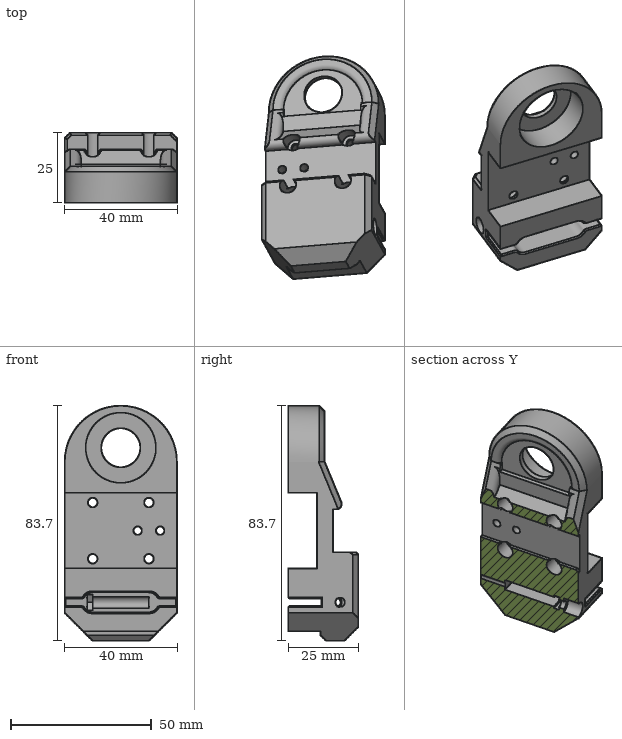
import cadquery as cq
import math

width = 40.0
half_width = width / 2
depth = 25.0
height = 83.7
ring_center_z = height - half_width

pick_margin = 0.1

plate_mid_z = 39.2
plate_front_y = 10.2
plate_back_y = 16.0
front_pocket_height = 26.8
back_pocket_height = 15.2
front_pocket_bottom = plate_mid_z - front_pocket_height / 2
front_pocket_top = plate_mid_z + front_pocket_height / 2
block_top = plate_mid_z - back_pocket_height / 2
lip_bottom = plate_mid_z + back_pocket_height / 2

ring_thickness = 13.0
lip_tip_y = 20.0
lip_radius = 1.9
rim_chamfer = 2.0
bore_z = height - 15.0
bore_diameter = 25.0
bore_depth = 10.0
shaft_hole_diameter = 13.8
slope_angle = math.atan((lip_tip_y - ring_thickness) / (ring_center_z - lip_bottom))

recess_half_width = 14.1
recess_mouth_radius = 2.0
recess_floor_y = 12.0
notch_floor_y = 13.65
recess_ledge_z = bore_z - 8.0

foot_y = 11.5
foot_z = 3.4
foot_chamfer = 2.0
back_bevel = 5.0
side_bevel = 10.0
block_corner_chamfer = 2.0
block_top_chamfer = 0.9

slot_z = 13.7
slot_depth = 11.7
slot_height = 2.5
slot_wide_height = 7.0
slot_end_x = 10.0
slot_blend_radius = 1.5
slot_chamfer = 0.5

screw_y = 17.0
screw_hole_diameter = 3.3
screw_head_diameter = 6.0
screw_head_depth = 6.0
far_hole_y = 18.5
cavity_length = 20.0
cavity_diameter = 4.1
nut_flats = 5.5
nut_thickness = 2.0

mount_spacing = 20.0
mount_hole_diameter = 3.3
mount_head_diameter = 6.0
mount_web = 1.0
pin_hole_diameter = 2.9
pin_hole_xs = (6.0, 14.0)


def y_cylinder(x, z, diameter, y_start, y_end):
    """Cylinder along Y between two Y positions."""
    start = cq.Vector(x, y_start, z)
    return cq.Workplane(cq.Solid.makeCylinder(diameter / 2, y_end - y_start, start, cq.Vector(0, 1, 0)))


def x_cylinder(y, z, diameter, x_start, x_end):
    """Cylinder along X between two X positions."""
    start = cq.Vector(x_start, y, z)
    return cq.Workplane(cq.Solid.makeCylinder(diameter / 2, x_end - x_start, start, cq.Vector(1, 0, 0)))


def x_prism(points, length):
    """Polygon in the YZ plane extruded symmetrically along X."""
    return cq.Workplane("YZ").polyline(points).close().extrude(length / 2, both=True)


def box(x_range, y_range, z_range):
    """Axis-aligned box from its limits along each axis."""
    size = [limits[1] - limits[0] for limits in (x_range, y_range, z_range)]
    corner = (x_range[0], y_range[0], z_range[0])
    return cq.Workplane("XY").box(*size, centered=False).translate(corner)


def make_upper():
    """Ring, sloped lip and plate."""
    profile = [
        (0, front_pocket_top),
        (plate_front_y, front_pocket_top),
        (plate_front_y, front_pocket_bottom),
        (plate_back_y, front_pocket_bottom),
        (plate_back_y, lip_bottom),
        (lip_tip_y, lip_bottom),
        (ring_thickness, ring_center_z),
        (0, ring_center_z),
    ]
    lip = x_prism(profile, width)
    tip = cq.selectors.BoxSelector(
        (-width, lip_tip_y - pick_margin, lip_bottom - pick_margin),
        (width, lip_tip_y + pick_margin, lip_bottom + pick_margin))
    tip_waste = lip.cut(lip.edges(tip).fillet(lip_radius))
    slope_normal = cq.Vector(0, math.cos(slope_angle), math.sin(slope_angle))
    slope_sides = [
        edge for edge in lip.faces(cq.selectors.DirectionMinMaxSelector(slope_normal)).edges().vals()
        if abs(edge.Center().x) > half_width - pick_margin
    ]
    lip = lip.newObject(slope_sides).chamfer(rim_chamfer).cut(tip_waste)
    ring = y_cylinder(0, ring_center_z, width, 0, ring_thickness).faces(">Y").edges().chamfer(rim_chamfer)
    upper_half = box((-half_width, half_width), (0, ring_thickness), (ring_center_z, height))
    return lip.union(ring.intersect(upper_half))


def make_block():
    """Lower block with its foot, bevels and rear chamfers."""
    profile = [
        (0, foot_z),
        (foot_y, foot_z),
        (foot_y, foot_chamfer),
        (foot_y + foot_chamfer, 0),
        (depth - back_bevel, 0),
        (depth, back_bevel),
        (depth, block_top),
        (plate_back_y, block_top),
        (plate_back_y, front_pocket_bottom),
        (0, front_pocket_bottom),
    ]
    block = x_prism(profile, width)
    block = block.edges("|Z").edges(">Y").chamfer(block_corner_chamfer)
    top_edges = [
        edge for edge in block.faces(">Z").edges().vals()
        if edge.Center().y > plate_back_y + pick_margin and edge.Center().x < half_width - pick_margin
    ]
    block = block.newObject(top_edges).chamfer(block_top_chamfer)
    for side in (-1, 1):
        bevel = [
            (side * half_width, 0),
            (side * half_width, side_bevel),
            (side * (half_width - side_bevel), 0),
        ]
        block = block.cut(cq.Workplane("XZ").polyline(bevel).close().extrude(-depth))
    return block


def mirrored(point, first_sign, second_sign):
    """Point with a sign applied to each coordinate."""
    return (first_sign * point[0], second_sign * point[1])


def strap_slot_tool(offset, length, taper=0):
    """Narrow full-width strip blending into a wide middle, grown by an offset and cut from the front."""
    strip_z = slot_height / 2 + offset
    end_radius = slot_wide_height / 2 + offset
    blend_radius = slot_blend_radius - offset
    blend_z = strip_z + blend_radius
    end_angle = math.asin(blend_z / (end_radius + blend_radius))
    blend_x = slot_end_x + (end_radius + blend_radius) * math.cos(end_angle)
    mid_angle = (end_angle + math.pi / 2) / 2
    end_mid = (slot_end_x + end_radius * math.cos(mid_angle), end_radius * math.sin(mid_angle))
    meet = (slot_end_x + end_radius * math.cos(end_angle), end_radius * math.sin(end_angle))
    blend_mid = (
        blend_x - blend_radius * math.cos(mid_angle),
        blend_z - blend_radius * math.sin(mid_angle),
    )
    plane = cq.Plane(origin=(0, 0, slot_z), xDir=(1, 0, 0), normal=(0, 1, 0))
    outline = cq.Workplane(plane).moveTo(-slot_end_x, end_radius)
    for half in (1, -1):
        outline = (
            outline.lineTo(*mirrored((slot_end_x, end_radius), half, half))
            .threePointArc(mirrored(end_mid, half, half), mirrored(meet, half, half))
            .threePointArc(mirrored(blend_mid, half, half), mirrored((blend_x, strip_z), half, half))
            .lineTo(*mirrored((width, strip_z), half, half))
            .lineTo(*mirrored((width, strip_z), half, -half))
            .lineTo(*mirrored((blend_x, strip_z), half, -half))
            .threePointArc(mirrored(blend_mid, half, -half), mirrored(meet, half, -half))
            .threePointArc(mirrored(end_mid, half, -half), mirrored((slot_end_x, end_radius), half, -half))
        )
    return outline.close().extrude(length, taper=taper)


def cut_strap_slot(body):
    """Slot for a strap, chamfered at the front and at both sides."""
    body = body.cut(strap_slot_tool(0, slot_depth))
    body = body.cut(strap_slot_tool(slot_chamfer, slot_chamfer, taper=45))
    for side in (-1, 1):
        mouth = (
            cq.Workplane("YZ", origin=(side * half_width, 0, slot_z))
            .rect(2 * (slot_depth + slot_chamfer), slot_height + 2 * slot_chamfer)
            .extrude(-side * slot_chamfer, taper=45)
        )
        body = body.cut(mouth)
    return body


def cut_cross_screw(body):
    """Screw hole along X with its head, cavity and nut trap."""
    cavity_end = cavity_length / 2
    head_end = -half_width + screw_head_depth
    nut_start = -cavity_end - nut_thickness
    body = body.cut(x_cylinder(screw_y, slot_z, screw_head_diameter, -half_width, head_end))
    body = body.cut(x_cylinder(screw_y, slot_z, screw_hole_diameter, -half_width, -cavity_end))
    body = body.cut(x_cylinder(far_hole_y, slot_z, screw_hole_diameter, cavity_end, half_width))
    body = body.cut(x_cylinder(screw_y, slot_z, cavity_diameter, -cavity_end, cavity_end))
    body = body.cut(box(
        (-cavity_end, cavity_end), (slot_depth, screw_y),
        (slot_z - cavity_diameter / 2, slot_z + cavity_diameter / 2)))
    nut = (
        cq.Workplane("YZ", origin=(nut_start, screw_y, slot_z))
        .polygon(6, nut_flats / math.cos(math.pi / 6))
        .extrude(nut_thickness)
    )
    body = body.cut(nut)
    return body.cut(box(
        (nut_start, -cavity_end), (slot_depth, screw_y),
        (slot_z - nut_flats / 2, slot_z + nut_flats / 2)))


def cut_plate_holes(body):
    """Mounting holes with screw-head bores, and the two pin holes."""
    half_spacing = mount_spacing / 2
    for x in (-half_spacing, half_spacing):
        for z in (plate_mid_z - half_spacing, plate_mid_z + half_spacing):
            body = body.cut(y_cylinder(x, z, mount_hole_diameter, 0, depth))
            body = body.cut(y_cylinder(x, z, mount_head_diameter, plate_front_y + mount_web, depth))
    for x in pin_hole_xs:
        body = body.cut(y_cylinder(x, plate_mid_z, pin_hole_diameter, 0, depth))
    return body


def cut_bore(body):
    """Front bore and the smaller shaft hole behind it."""
    body = body.cut(y_cylinder(0, bore_z, bore_diameter, 0, bore_depth))
    return body.cut(y_cylinder(0, bore_z, shaft_hole_diameter, 0, depth))


def recess_section(workplane, side):
    """Half of the recess cross-section: straight wall with a rounded mouth at the local origin height."""
    mouth = recess_half_width + recess_mouth_radius
    bend = recess_mouth_radius * (1 - math.sqrt(0.5))
    return (
        workplane.moveTo(0, -depth)
        .lineTo(side * recess_half_width, -depth)
        .lineTo(side * recess_half_width, -recess_mouth_radius)
        .threePointArc((side * (recess_half_width + bend), -bend), (side * mouth, 0))
        .lineTo(side * mouth, depth)
        .lineTo(0, depth)
        .close()
    )


def cut_recess(body):
    """Recess behind the ring, running down into the lip."""
    down_slope = cq.Vector(0, math.sin(slope_angle), -math.cos(slope_angle))
    slope_plane = cq.Plane(
        origin=cq.Vector(0, ring_thickness, ring_center_z) - down_slope * depth,
        xDir=(-1, 0, 0), normal=down_slope)
    channel = recess_section(cq.Workplane(slope_plane), 1).extrude(height)
    channel = channel.union(recess_section(cq.Workplane(slope_plane), -1).extrude(height))
    tip_center_y = lip_tip_y - lip_radius / math.tan(math.pi / 4 - slope_angle / 2)
    tip_center_z = lip_bottom + lip_radius
    ramp_sum = tip_center_y + tip_center_z + lip_radius * math.sqrt(2)
    notch = x_prism([
        (notch_floor_y, ramp_sum - notch_floor_y),
        (notch_floor_y, ring_center_z),
        (depth, ring_center_z),
        (depth, ramp_sum - depth),
    ], width)
    body = body.cut(notch.intersect(channel))
    body = body.cut(box(
        (-recess_half_width, recess_half_width), (recess_floor_y, depth), (recess_ledge_z, ring_center_z)))
    section_plane = cq.Plane(origin=(0, ring_thickness, ring_center_z), xDir=(1, 0, 0), normal=(0, 0, 1))
    dome = recess_section(cq.Workplane(section_plane), 1).revolve(360, (0, 0), (0, 1))
    dome_limits = box((-width, width), (recess_floor_y, depth), (ring_center_z, height))
    return body.cut(dome.intersect(dome_limits))


result = make_upper().union(make_block())
result = cut_bore(result)
result = cut_recess(result)
result = cut_plate_holes(result)
result = cut_cross_screw(result)
result = cut_strap_slot(result)